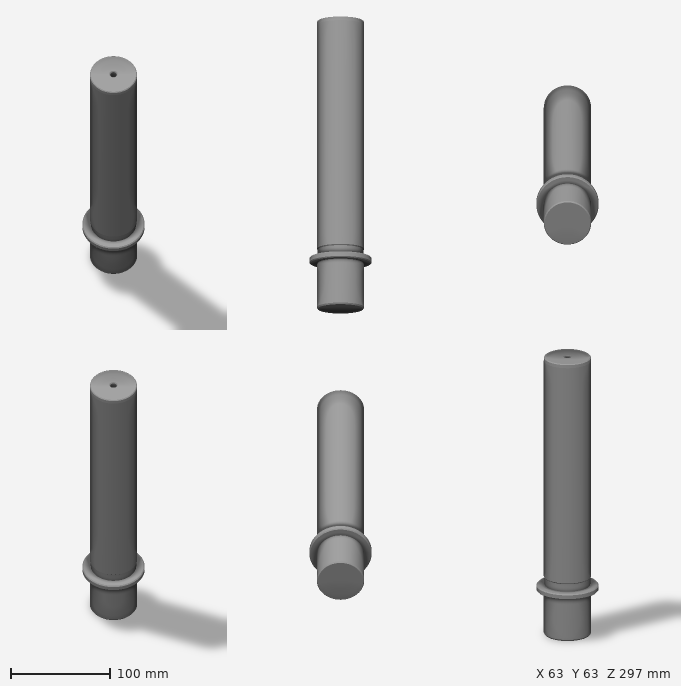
import cadquery as cq
import math

total_length = 297.0
shaft_radius = 48.0 / 2

spigot_length = 47.0
spigot_chamfer_height = 1.5
spigot_chamfer_depth = 1.0

undercut_width = 1.5
undercut_depth = 0.5

collar_radius = 63.0 / 2
collar_thickness = 6.0
collar_chamfer = 1.0
collar_top = spigot_length + collar_thickness

neck_radius = 46.0 / 2
neck_top = 62.0
neck_step = shaft_radius - neck_radius

lead_in_length = 4.0
lead_in_angle = 5.0
end_chamfer_height = 0.8
end_chamfer_depth = 0.9
taper_length = lead_in_length - end_chamfer_height
taper_top_radius = shaft_radius - taper_length * math.tan(math.radians(lead_in_angle))

hole_diameter = 6.6
hole_mouth_diameter = 8.5
hole_depth = 20.0


def revolve_about_z(profile):
    """Turn a half profile of (radius, height) points into a solid about the Z axis."""
    return cq.Workplane("XZ").polyline(profile).close().revolve(360, (0, 0), (0, 1))


def make_body():
    undercut_radius = shaft_radius - undercut_depth
    undercut_bottom = spigot_length - undercut_width
    return revolve_about_z([
        (0, 0),
        (shaft_radius - spigot_chamfer_depth, 0),
        (shaft_radius, spigot_chamfer_height),
        (shaft_radius, undercut_bottom),
        (undercut_radius, undercut_bottom + undercut_depth),
        (undercut_radius, spigot_length),
        (collar_radius - collar_chamfer, spigot_length),
        (collar_radius, spigot_length + collar_chamfer),
        (collar_radius, collar_top - collar_chamfer),
        (collar_radius - collar_chamfer, collar_top),
        (neck_radius, collar_top),
        (neck_radius, neck_top - neck_step),
        (shaft_radius, neck_top),
        (shaft_radius, total_length - lead_in_length),
        (taper_top_radius, total_length - end_chamfer_height),
        (taper_top_radius - end_chamfer_depth, total_length),
        (0, total_length),
    ])


def make_end_hole():
    """Blind axial hole with a 45 degree countersunk mouth."""
    mouth_radius = hole_mouth_diameter / 2
    bore_radius = hole_diameter / 2
    countersink_depth = mouth_radius - bore_radius
    hole_bottom = total_length - hole_depth
    return revolve_about_z([
        (0, total_length),
        (mouth_radius, total_length),
        (bore_radius, total_length - countersink_depth),
        (bore_radius, hole_bottom),
        (0, hole_bottom),
    ])


result = make_body().cut(make_end_hole())